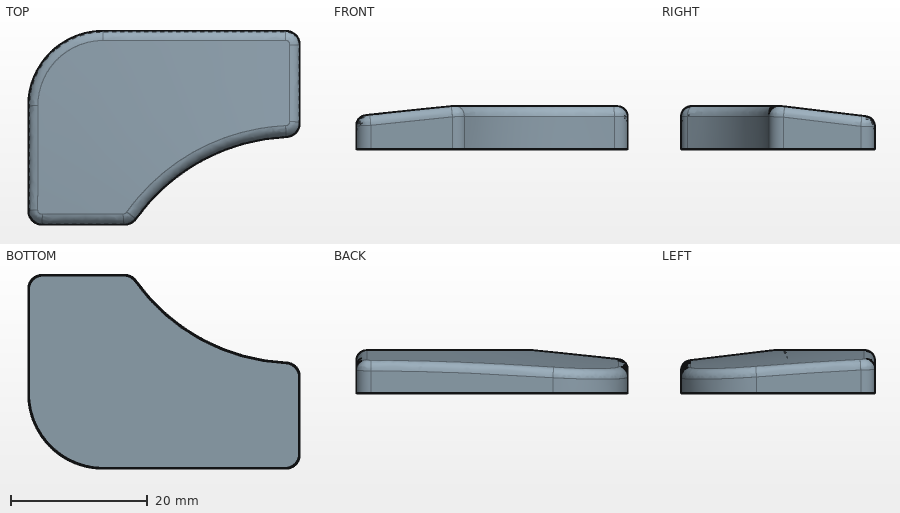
import cadquery as cq
import math

length = 39.8
width = 28.4
large_corner_radius = 11.02
small_corner_diameter = 4.25
small_corner_radius = small_corner_diameter / 2

arc_center_x = 39.0
arc_center_y = -15.6
arc_radius = 28.45

height = 6.45
top_fillet = 1.55
bottom_chamfer = 0.15

top_slope = 0.12
slope_length_factor = math.hypot(1, top_slope)
rim_height = height + top_fillet * (top_slope + slope_length_factor - 1)
apex_height = rim_height + top_slope * arc_radius
cone_radius = 1.5 * length
cone_edge_height = apex_height - top_slope * cone_radius


def arc_point(angle):
    """Plan point on the concave arc, at an angle measured from +X."""
    return (
        arc_center_x + arc_radius * math.cos(angle),
        arc_center_y + arc_radius * math.sin(angle),
    )


def nearest_edge(x, y):
    """Selector for the vertical edge of the blank at a plan corner."""
    return cq.selectors.NearestToPointSelector((x, y, apex_height / 2))


def outline_prism():
    """Straight-walled blank with the large and small plan corners rounded."""
    front_angle = math.pi - math.asin(-arc_center_y / arc_radius)
    right_angle = math.acos((length - arc_center_x) / arc_radius)
    blank = (
        cq.Workplane("XY")
        .lineTo(*arc_point(front_angle))
        .threePointArc(arc_point((front_angle + right_angle) / 2), arc_point(right_angle))
        .lineTo(length, width)
        .lineTo(0, width)
        .close()
        .extrude(apex_height)
    )
    large_corner = nearest_edge(0, width)
    blank = blank.edges(large_corner).fillet(large_corner_radius)
    small_corners = (
        nearest_edge(0, 0)
        + nearest_edge(*arc_point(front_angle))
        + nearest_edge(*arc_point(right_angle))
        + nearest_edge(length, width)
    )
    return blank.edges(small_corners).fillet(small_corner_radius)


def conical_envelope():
    """Solid of revolution whose upper face is the sloping top."""
    return (
        cq.Workplane("XZ")
        .lineTo(cone_radius, 0)
        .lineTo(cone_radius, cone_edge_height)
        .lineTo(0, apex_height)
        .close()
        .revolve(360, (0, 0, 0), (0, 1, 0))
        .translate((arc_center_x, arc_center_y, 0))
    )


result = outline_prism().intersect(conical_envelope())
result = result.faces("%CONE").edges().fillet(top_fillet)
result = result.faces("<Z").edges().chamfer(bottom_chamfer)